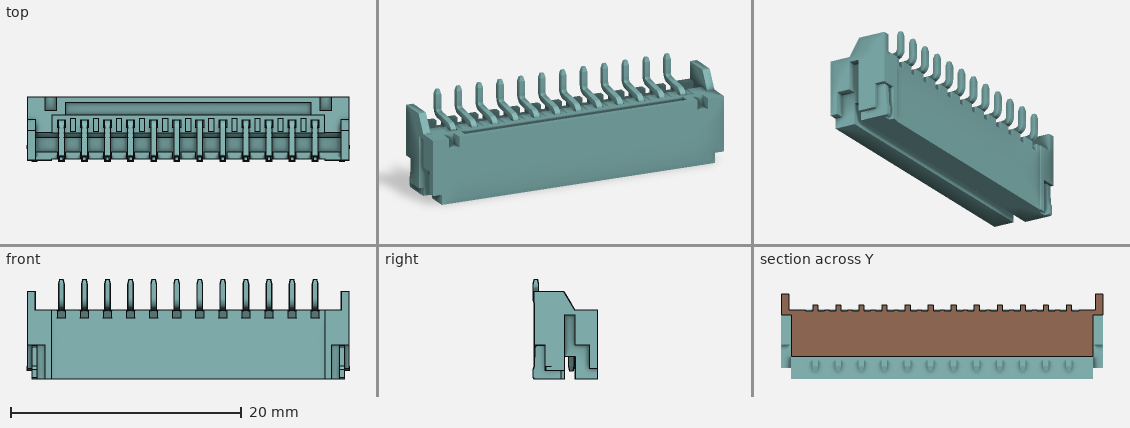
import cadquery as cq
import math


HOUSING_LENGTH = 27.9
HOUSING_DEPTH = 5.5
DECK_Z = 6.0
END_X = HOUSING_LENGTH / 2
OVERCUT = 1.0

END_WALL_THICKNESS = 0.7
END_WALL_Z = 7.6
END_WALL_FLAT_Y = 2.58
END_WALL_FOOT_Y = 3.54

FRONT_STEP_DEPTH = 0.1
FRONT_STEP_INSET = 2.1

GROOVE_DEPTH = 0.68
SILL_BACK_Y = 0.73
GROOVE_FLOOR_BACK_Y = 1.97
GROOVE_BACK_Y = 2.41

POCKET_DEPTH = 0.07
POCKET_INSET = 2.12
POCKET_BACK_Y = 3.92
RIB_WIDTH = 0.45
RIB_FRONT_Y = 2.5
RIB_BACK_Y = 3.62

TROUGH_DEPTH = 0.8
TROUGH_INSET = 3.3
TROUGH_BACK_Y = 5.0

REAR_NOTCH_DEPTH = 1.0
REAR_NOTCH_INSET = 1.52
REAR_NOTCH_WIDTH = 1.02
REAR_NOTCH_FRONT_Y = 4.31

SLOT_FRONT_Y = 2.65
SLOT_BACK_Y = 3.55
SLOT_Z = 1.95
SIDE_RECESS_DEPTH = 0.85
SIDE_RECESS_Z = 5.55
SIDE_STEP_BACK_Y = 4.8
SIDE_STEP_Z = 2.97
SIDE_BASE_Z = 0.93

CORNER_Z = 2.97
CORNER_WIDTH = 1.55
CORNER_DEPTH = 0.45
SIDE_RELIEF_DEPTH = 0.42
SIDE_RELIEF_BACK_Y = 0.95
SIDE_RELIEF_Z = 0.76
SIDE_CHAMFER_RUN = 0.08
SIDE_CHAMFER_RISE = 0.17

CLIP_INSET = SIDE_RELIEF_DEPTH - 0.02
CLIP_THICKNESS = 0.45
CLIP_TAIL_BACK_Y = 2.35
CLIP_TOP_Z = 2.92
CLIP_FOOT_Y = -0.1
CLIP_FOOT_Z = 0.85
CLIP_SHOULDER_Y = 0.02
CLIP_SHOULDER_Z = 1.15
CLIP_LEAN = 0.08
CLIP_CHAMFER = 0.12

BUMP_HEIGHT = 0.025
BUMP_FRONT_Y = SIDE_RELIEF_BACK_Y + SIDE_CHAMFER_RUN
BUMP_WIDTH = 0.45
BUMP_TOP_Z = 1.1

PIN_COUNT = 12
PIN_PITCH = 2.0
PIN_SIZE = 0.5
PIN_FRONT_Y = -0.1
PIN_BACK_Y = 3.48
PIN_TOP_Z = 8.65
PIN_BOTTOM_Z = 0.7
PIN_TIP_LENGTH = 0.4
PIN_TIP_TAPER = 0.1
BEND_INNER_RADIUS = 0.3
BEND_OUTER_RADIUS = BEND_INNER_RADIUS + PIN_SIZE
FRONT_BEND_Z = 7.0
BAR_DROP = 0.25

PIN_NOTCH_WIDTH = 0.7
PIN_HOLE_FRONT_Y = 2.85
PIN_HOLE_BACK_Y = 3.52
PIN_HOLE_DEPTH = 0.4


def box(x_min, x_max, y_min, y_max, z_min, z_max):
    size = (x_max - x_min, y_max - y_min, z_max - z_min)
    return cq.Workplane("XY").box(*size, centered=False).translate((x_min, y_min, z_min))


def prism(yz_points, x_min, x_max):
    """Polygon in the YZ plane, extruded along X."""
    return cq.Workplane("YZ").polyline(yz_points).close().extrude(x_max - x_min).translate((x_min, 0, 0))


def both_ends(left_solid):
    """A solid at the -X end together with its mirror image at the +X end."""
    return left_solid.add(left_solid.mirror("YZ")).combine()


def pin_positions():
    first = -PIN_PITCH * (PIN_COUNT - 1) / 2
    return [first + index * PIN_PITCH for index in range(PIN_COUNT)]


def make_block():
    block = box(-END_X, END_X, 0, HOUSING_DEPTH, 0, DECK_Z)
    wall_outline = [
        (0, 0),
        (0, END_WALL_Z),
        (END_WALL_FLAT_Y, END_WALL_Z),
        (END_WALL_FOOT_Y, DECK_Z),
        (END_WALL_FOOT_Y, 0),
    ]
    block = block.union(both_ends(prism(wall_outline, -END_X, -END_X + END_WALL_THICKNESS)))
    step_x = END_X - FRONT_STEP_INSET
    return block.cut(box(-step_x, step_x, -OVERCUT, FRONT_STEP_DEPTH, -OVERCUT, DECK_Z + OVERCUT))


def cut_deck(housing):
    groove_outline = [
        (SILL_BACK_Y, DECK_Z),
        (SILL_BACK_Y, DECK_Z - GROOVE_DEPTH),
        (GROOVE_FLOOR_BACK_Y, DECK_Z - GROOVE_DEPTH),
        (GROOVE_BACK_Y, DECK_Z),
    ]
    groove_x = END_X - END_WALL_THICKNESS
    pocket_x = END_X - POCKET_INSET
    pocket_z = DECK_Z - POCKET_DEPTH
    trough_x = END_X - TROUGH_INSET
    notch_x = -END_X + REAR_NOTCH_INSET
    top = DECK_Z + OVERCUT

    housing = housing.cut(box(-pocket_x, pocket_x, SILL_BACK_Y, POCKET_BACK_Y, pocket_z, top))
    for pin_x in pin_positions()[:-1]:
        x = pin_x + PIN_PITCH / 2
        rib = box(x - RIB_WIDTH / 2, x + RIB_WIDTH / 2, RIB_FRONT_Y, RIB_BACK_Y, pocket_z, DECK_Z)
        housing = housing.union(rib)
    housing = housing.cut(prism(groove_outline, -groove_x, groove_x))
    trough = box(-trough_x, trough_x, POCKET_BACK_Y, TROUGH_BACK_Y, DECK_Z - TROUGH_DEPTH, top)
    notch = box(
        notch_x,
        notch_x + REAR_NOTCH_WIDTH,
        REAR_NOTCH_FRONT_Y,
        HOUSING_DEPTH + OVERCUT,
        DECK_Z - REAR_NOTCH_DEPTH,
        top,
    )
    return housing.cut(trough).cut(both_ends(notch))


def cut_end_faces(housing):
    outside = -END_X - OVERCUT
    recess_outline = [
        (SLOT_FRONT_Y, -OVERCUT),
        (SLOT_FRONT_Y, SIDE_RECESS_Z),
        (SLOT_BACK_Y, SIDE_RECESS_Z),
        (SLOT_BACK_Y, SIDE_STEP_Z),
        (SIDE_STEP_BACK_Y, SIDE_STEP_Z),
        (SIDE_STEP_BACK_Y, SIDE_BASE_Z),
        (HOUSING_DEPTH + OVERCUT, SIDE_BASE_Z),
        (HOUSING_DEPTH + OVERCUT, -OVERCUT),
    ]
    relief_outline = [
        (-OVERCUT, -OVERCUT),
        (-OVERCUT, CORNER_Z),
        (SIDE_RELIEF_BACK_Y, CORNER_Z),
        (SIDE_RELIEF_BACK_Y, SIDE_RELIEF_Z + SIDE_CHAMFER_RISE),
        (SIDE_RELIEF_BACK_Y + SIDE_CHAMFER_RUN, SIDE_RELIEF_Z),
        (SLOT_FRONT_Y, SIDE_RELIEF_Z),
        (SLOT_FRONT_Y, -OVERCUT),
    ]
    recess = prism(recess_outline, outside, -END_X + SIDE_RECESS_DEPTH)
    relief = prism(relief_outline, outside, -END_X + SIDE_RELIEF_DEPTH)
    corner = box(outside, -END_X + CORNER_WIDTH, -OVERCUT, CORNER_DEPTH, -OVERCUT, CORNER_Z)
    slot = box(outside, -outside, SLOT_FRONT_Y, SLOT_BACK_Y, -OVERCUT, SLOT_Z)
    for cutter in (recess, relief, corner):
        housing = housing.cut(both_ends(cutter))
    return housing.cut(slot)


def make_clip():
    clip_x = -END_X + CLIP_INSET
    outline = [
        (CLIP_TAIL_BACK_Y, 0),
        (CLIP_FOOT_Y + CLIP_CHAMFER, 0),
        (CLIP_FOOT_Y, CLIP_CHAMFER),
        (CLIP_FOOT_Y, CLIP_FOOT_Z),
        (CLIP_SHOULDER_Y, CLIP_SHOULDER_Z),
        (CLIP_SHOULDER_Y + CLIP_LEAN, CLIP_TOP_Z - CLIP_CHAMFER),
        (CLIP_SHOULDER_Y + CLIP_LEAN + CLIP_CHAMFER, CLIP_TOP_Z),
        (SIDE_RELIEF_BACK_Y, CLIP_TOP_Z),
        (SIDE_RELIEF_BACK_Y, SIDE_RELIEF_Z),
        (CLIP_TAIL_BACK_Y, SIDE_RELIEF_Z),
    ]
    return prism(outline, clip_x, clip_x + CLIP_THICKNESS)


def make_bump():
    back_y = BUMP_FRONT_Y + BUMP_WIDTH
    outline = [
        (-END_X - BUMP_HEIGHT, BUMP_FRONT_Y),
        (-END_X, back_y),
        (-END_X + BUMP_HEIGHT, back_y),
        (-END_X + BUMP_HEIGHT, BUMP_FRONT_Y),
    ]
    base = cq.Workplane("XY", origin=(0, 0, SIDE_RELIEF_Z))
    return base.polyline(outline).close().extrude(BUMP_TOP_Z - SIDE_RELIEF_Z)


def pin_opening(x):
    """Notch through the front sill down to the groove floor, and the hole at the rear leg."""
    half = PIN_NOTCH_WIDTH / 2
    notch = box(x - half, x + half, 0, SILL_BACK_Y, DECK_Z - GROOVE_DEPTH, DECK_Z)
    hole = box(x - half, x + half, PIN_HOLE_FRONT_Y, PIN_HOLE_BACK_Y, DECK_Z - PIN_HOLE_DEPTH, DECK_Z)
    return notch.union(hole)


def pin_tip(y_center, z_base, length):
    """Tapered end; a negative length points down."""
    flat = PIN_SIZE - 2 * PIN_TIP_TAPER
    base = cq.Workplane("XY", origin=(0, y_center, z_base)).rect(PIN_SIZE, PIN_SIZE)
    return base.workplane(offset=length).rect(flat, flat).loft(combine=True)


def make_pin():
    """Pin at X = 0: a front riser, a cross bar falling to the rear and a leg going down."""
    front_center_y = PIN_FRONT_Y + BEND_OUTER_RADIUS
    rear_center_y = PIN_BACK_Y - BEND_OUTER_RADIUS
    riser_back_y = PIN_FRONT_Y + PIN_SIZE
    leg_front_y = PIN_BACK_Y - PIN_SIZE
    bar_front_z = FRONT_BEND_Z - BEND_INNER_RADIUS
    bar_rear_z = bar_front_z - BAR_DROP
    rear_bend_z = bar_rear_z - BEND_OUTER_RADIUS
    riser_top_z = PIN_TOP_Z - PIN_TIP_LENGTH
    leg_bottom_z = PIN_BOTTOM_Z + PIN_TIP_LENGTH
    bend_middle = BEND_INNER_RADIUS * math.sqrt(0.5)
    body = (
        cq.Workplane("YZ")
        .moveTo(PIN_FRONT_Y, riser_top_z)
        .lineTo(PIN_FRONT_Y, FRONT_BEND_Z)
        .tangentArcPoint((front_center_y, bar_front_z - PIN_SIZE), relative=False)
        .lineTo(rear_center_y, bar_rear_z - PIN_SIZE)
        .threePointArc(
            (rear_center_y + bend_middle, rear_bend_z + bend_middle),
            (leg_front_y, rear_bend_z),
        )
        .lineTo(leg_front_y, leg_bottom_z)
        .lineTo(PIN_BACK_Y, leg_bottom_z)
        .lineTo(PIN_BACK_Y, rear_bend_z)
        .tangentArcPoint((rear_center_y, bar_rear_z), relative=False)
        .lineTo(front_center_y, bar_front_z)
        .threePointArc(
            (front_center_y - bend_middle, FRONT_BEND_Z - bend_middle),
            (riser_back_y, FRONT_BEND_Z),
        )
        .lineTo(riser_back_y, riser_top_z)
        .close()
        .extrude(PIN_SIZE / 2, both=True)
    )
    top_tip = pin_tip(PIN_FRONT_Y + PIN_SIZE / 2, riser_top_z, PIN_TIP_LENGTH)
    bottom_tip = pin_tip(PIN_BACK_Y - PIN_SIZE / 2, leg_bottom_z, -PIN_TIP_LENGTH)
    return body.union(top_tip).union(bottom_tip)


part = cut_end_faces(cut_deck(make_block()))
part = part.union(both_ends(make_clip())).union(both_ends(make_bump()))
pin = make_pin()
for pin_x in pin_positions():
    part = part.cut(pin_opening(pin_x)).union(pin.translate((pin_x, 0, 0)))
result = part.combine()